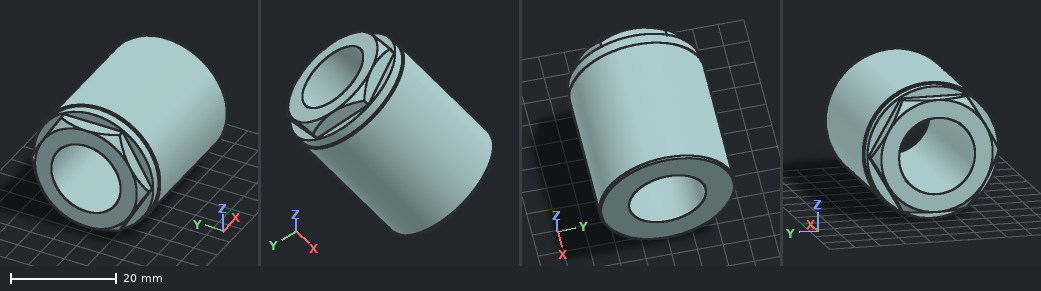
import cadquery as cq
import math

total_length = 32.5
hex_length = 3.0
collar_length = 2.1
body_start = hex_length + collar_length

hex_across_flats = 22.0
hex_sides = 6
hex_across_corners = hex_across_flats / math.cos(math.pi / hex_sides)
hex_chamfer_angle = 45.0
collar_radius = 12.95
body_radius = 13.22
bore_diameter = 15.0

shoulder_length = 0.2
body_end_chamfer_length = 0.45
body_end_chamfer_depth = 0.25


def revolve_about_x(profile):
    """Revolve a closed (x, radius) profile around the X axis."""
    return profile.close().revolve(360, (0, 0, 0), (1, 0, 0))


def make_sleeve():
    """Collar, conical step and larger body with its far edge chamfered."""
    profile = (
        cq.Workplane("XY")
        .moveTo(hex_length, 0)
        .lineTo(hex_length, collar_radius)
        .lineTo(body_start, collar_radius)
        .lineTo(body_start + shoulder_length, body_radius)
        .lineTo(total_length - body_end_chamfer_length, body_radius)
        .lineTo(total_length, body_radius - body_end_chamfer_depth)
        .lineTo(total_length, 0)
    )
    return revolve_about_x(profile)


def make_hexagon():
    """Wrench hexagon, flats facing +Z and -Z, its corners cut by a cone."""
    prism = cq.Workplane("YZ").polygon(hex_sides, hex_across_corners).extrude(hex_length)
    face_radius = hex_across_flats / 2
    cone_growth = hex_length * math.tan(math.radians(hex_chamfer_angle))
    cone_profile = (
        cq.Workplane("XY")
        .lineTo(0, face_radius)
        .lineTo(hex_length, face_radius + cone_growth)
        .lineTo(hex_length, 0)
    )
    return prism.intersect(revolve_about_x(cone_profile))


def make_bore():
    """Plain through bore along X."""
    return cq.Workplane("YZ").circle(bore_diameter / 2).extrude(total_length)


result = make_sleeve().union(make_hexagon()).cut(make_bore())